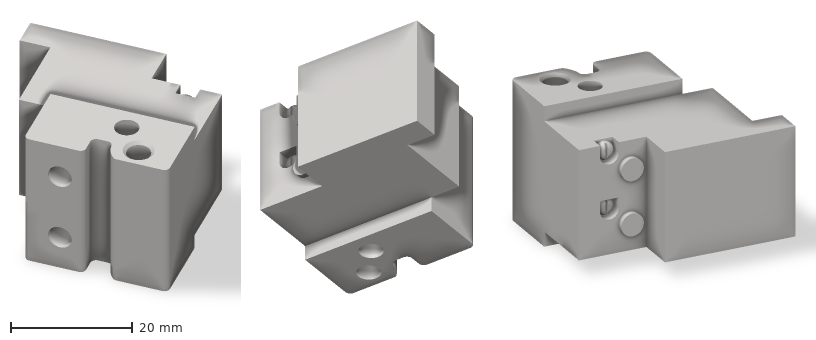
import cadquery as cq
import math

overall_length = 36.4
overall_depth = 32.7

block_height = 25.4
block_width = 25.4
block_depth = 12.65
block_left = overall_length - block_width
corner_radius = 1.0

port_diameter = 4.2
plain_port_x = 25.95
plain_port_y = 8.6
flared_port_x = 29.92
flared_port_y = 3.55
flare_width = 0.55
flare_angle = 90
front_port_x = 17.35
front_port_spacing = block_height / 2

notch_left = 21.62
notch_depth = 4.0
notch_arc_radius = 4.65

module_count = 2
module_height = 9.97
step_x = 5.42
tab_thickness = 5.05
rear_notch_x = 24.0
rear_notch_depth = 7.0
rear_face_y = overall_depth - rear_notch_depth

button_diameter = 4.1
button_length = 1.02
button_x = 27.0

pocket_width = 3.5
pocket_depth = 2.35
pocket_x = 30.8
pocket_drop = 1.93
pocket_floor_y = rear_face_y - pocket_depth

screw_diameter = 3.28
screw_head_height = 1.35
screw_edge_radius = 1.02
slot_width = 0.45
slot_depth = 0.55


def notch_arc_point(angle):
    """Point of the notch's curved wall at an angle (radians) around the flared port."""
    return (
        flared_port_x + notch_arc_radius * math.cos(angle),
        flared_port_y + notch_arc_radius * math.sin(angle),
    )


def rear_cylinder(x, y, z, diameter, length):
    """Cylinder that starts at (x, y, z) and runs along +Y."""
    return cq.Workplane(cq.Solid.makeCylinder(diameter / 2, length, cq.Vector(x, y, z), cq.Vector(0, 1, 0)))


def make_port_block():
    inner_angle = math.pi - math.asin((notch_depth - flared_port_y) / notch_arc_radius)
    outer_angle = math.pi + math.asin(flared_port_y / notch_arc_radius)

    block = (
        cq.Workplane("XY")
        .workplane(offset=-block_height / 2)
        .moveTo(block_left, 0)
        .lineTo(notch_left, 0)
        .lineTo(notch_left, notch_depth)
        .lineTo(*notch_arc_point(inner_angle))
        .threePointArc(notch_arc_point((inner_angle + outer_angle) / 2), notch_arc_point(outer_angle))
        .lineTo(overall_length, 0)
        .lineTo(overall_length, block_depth)
        .lineTo(block_left, block_depth)
        .close()
        .extrude(block_height)
    )
    block = block.edges("|Z exc >Y").fillet(corner_radius)

    top = block.faces(">Z").workplane(origin=(0, 0, block_height / 2))
    block = top.pushPoints([(plain_port_x, plain_port_y)]).hole(port_diameter)
    top = block.faces(">Z").workplane(origin=(0, 0, block_height / 2))
    flare_diameter = port_diameter + 2 * flare_width
    block = top.pushPoints([(flared_port_x, flared_port_y)]).cskHole(port_diameter, flare_diameter, flare_angle)

    for side in (-1, 1):
        port_z = side * front_port_spacing / 2
        block = block.cut(rear_cylinder(front_port_x, 0, port_z, port_diameter, block_depth))
    return block


def make_screw_head(z):
    """Round-edged screw head on the pocket floor, with an upright driver slot."""
    head = rear_cylinder(pocket_x, pocket_floor_y, z, screw_diameter, screw_head_height)
    head = head.faces(">Y").edges().fillet(screw_edge_radius)
    slot_y = pocket_floor_y + screw_head_height - slot_depth / 2
    slot = cq.Workplane("XY").box(slot_width, slot_depth, screw_diameter).translate((pocket_x, slot_y, z))
    return head.cut(slot)


def make_module(bottom):
    """One valve module with its lower face at height bottom."""
    top = bottom + module_height
    module = (
        cq.Workplane("XY")
        .workplane(offset=bottom)
        .moveTo(step_x, block_depth)
        .lineTo(overall_length, block_depth)
        .lineTo(overall_length, rear_face_y)
        .lineTo(rear_notch_x, rear_face_y)
        .lineTo(rear_notch_x, overall_depth)
        .lineTo(0, overall_depth)
        .lineTo(0, overall_depth - tab_thickness)
        .lineTo(step_x, overall_depth - tab_thickness)
        .close()
        .extrude(module_height)
    )
    button_z = bottom + module_height / 2
    module = module.union(rear_cylinder(button_x, rear_face_y, button_z, button_diameter, button_length))

    screw_z = top - pocket_drop
    pocket = rear_cylinder(pocket_x, pocket_floor_y, screw_z, pocket_width, pocket_depth)
    pocket_mouth = (
        cq.Workplane("XY")
        .box(pocket_width, pocket_depth, pocket_drop, centered=(True, False, False))
        .translate((pocket_x, pocket_floor_y, screw_z))
    )
    return module.cut(pocket).cut(pocket_mouth).union(make_screw_head(screw_z))


def make_valve_stack():
    """Identical modules joined into one solid; the seams between them stay as face edges."""
    stack_bottom = -module_count * module_height / 2
    stack = make_module(stack_bottom)
    for index in range(1, module_count):
        stack = stack.union(make_module(stack_bottom + index * module_height), clean=False)
    return stack


port_block = make_port_block()
valve_stack = make_valve_stack()

result = cq.Compound.makeCompound([port_block.solids().val(), valve_stack.solids().val()])